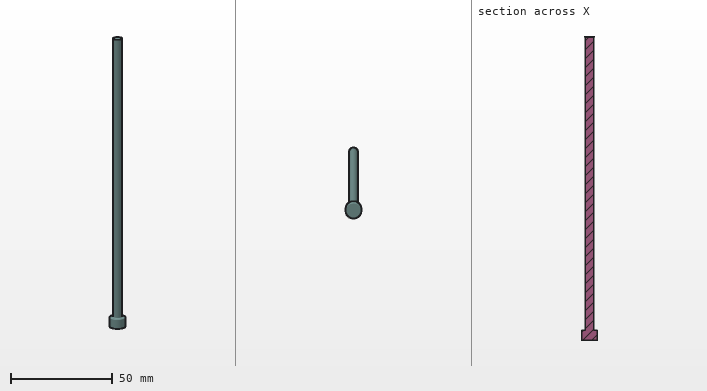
import cadquery as cq

total_length = 150.0
head_diameter = 8.0
head_height = 5.1
rim_fillet = 0.3
shank_diameter = 4.5
neck_fillet = 0.3

head_radius = head_diameter / 2
shank_radius = shank_diameter / 2

half_section = (
    cq.Workplane("XZ")
    .lineTo(head_radius - rim_fillet, 0)
    .radiusArc((head_radius, rim_fillet), -rim_fillet)
    .lineTo(head_radius, head_height - rim_fillet)
    .radiusArc((head_radius - rim_fillet, head_height), -rim_fillet)
    .lineTo(shank_radius + neck_fillet, head_height)
    .radiusArc((shank_radius, head_height + neck_fillet), neck_fillet)
    .lineTo(shank_radius, total_length)
    .lineTo(0, total_length)
    .close()
)

result = half_section.revolve(360, (0, 0), (0, 1))